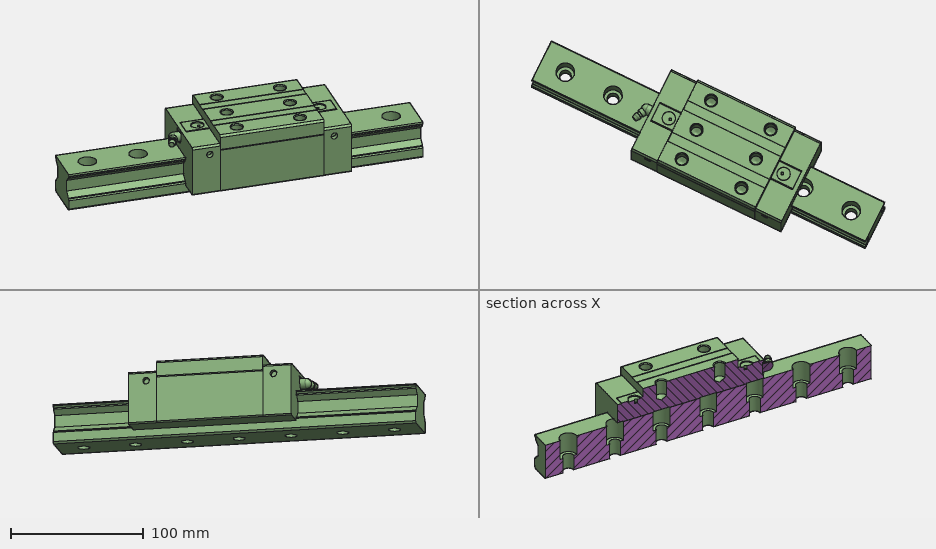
import cadquery as cq
import math


rail_length = 280.0
rail_height = 30.5
rail_half_width = 17.0
rail_waist_half_width = 11.4
rail_track_half_width = 15.6
rail_base_chamfer = 1.5
base_flank_top = 8.6
lower_ledge_inner_z = 9.3
lower_track_bottom = 10.1
lower_track_top = 14.1
upper_track_bottom = 23.2
upper_track_top = 27.1
upper_ledge_inner_z = 28.1
lip_bottom = 29.4
lip_edge_break = 0.6
rail_hole_pitch = 40.0
rail_hole_count = 7
rail_bolt_diameter = 9.0
rail_counterbore_diameter = 14.0
rail_counterbore_depth = 17.0

carriage_y = 15.1
carriage_bottom = 7.0
carriage_top = 55.0
body_width = 70.0
body_length = 82.0
body_top_chamfer = 1.6
body_base_chamfer = 1.0
side_relief = 0.3
reference_edge_bottom = 43.2
relief_bottom = 42.4

cap_width = 69.0
cap_top = 47.4
cap_top_chamfer = 1.5
carriage_length = 125.8
cap_length = (carriage_length - body_length) / 2

groove_inner_x = 9.7
groove_outer_x = 17.3
groove_depth = 0.4

mount_hole_diameter = 8.5
mount_hole_mouth_diameter = 10.0
mount_hole_depth = 13.0
mount_spacing_x = 25.0
mount_spacing_y = 50.0
drill_tip_angle = 118.0

side_hole_diameter = 5.0
side_hole_depth = 4.0
side_hole_offset = 49.2
side_hole_z = 40.0
pad_base_width = 16.0
pad_top_width = 14.4
pad_height = 0.3
pad_end_margin = 3.4
port_diameter = 10.0
port_depth = 1.0
port_offset = 48.2
port_hole_diameter = 2.0
port_hole_depth = 3.0
port_hole_offset = 47.0

nipple_z = 40.0
nipple_recess_width = 10.0
nipple_recess_rise = 4.8
nipple_recess_depth = 1.0
nipple_body_diameter = 8.0
nipple_body_length = 4.0
nipple_head_angle = 25.0
collar_radius = 3.2
collar_end = 5.7
neck_radius = 2.2
neck_end = 7.4
head_radius = 2.8
head_shoulder = 9.4
tip_radius = 2.0
tip_end = 12.0


def rail_section():
    """Rail outline in the XZ plane, extruded to the rail length and centred on Y."""
    half_outline = [
        (rail_half_width - rail_base_chamfer, 0),
        (rail_half_width, rail_base_chamfer),
        (rail_half_width, base_flank_top),
        (rail_track_half_width, lower_ledge_inner_z),
        (rail_track_half_width, lower_track_bottom),
        (rail_waist_half_width, lower_track_top),
        (rail_waist_half_width, upper_track_bottom),
        (rail_track_half_width, upper_track_top),
        (rail_track_half_width, upper_ledge_inner_z),
        (rail_half_width, lip_bottom),
        (rail_half_width - lip_edge_break, rail_height),
    ]
    mirrored = [(-x, z) for x, z in reversed(half_outline)]
    profile = cq.Workplane("XZ").polyline(half_outline + mirrored).close()
    return profile.extrude(rail_length / 2, both=True)


def make_rail():
    return (
        rail_section()
        .faces(">Z").workplane(origin=(0, 0, rail_height))
        .rarray(1, rail_hole_pitch, 1, rail_hole_count)
        .cboreHole(rail_bolt_diameter, rail_counterbore_diameter, rail_counterbore_depth)
    )


def make_body():
    """Steel block with relieved sides below the reference edges."""
    half_width = body_width / 2
    relieved = half_width - side_relief
    half_outline = [
        (relieved - body_base_chamfer, carriage_bottom),
        (relieved, carriage_bottom + body_base_chamfer),
        (relieved, relief_bottom),
        (half_width, reference_edge_bottom),
        (half_width, carriage_top - body_top_chamfer),
        (half_width - body_top_chamfer, carriage_top),
    ]
    mirrored = [(-x, z) for x, z in reversed(half_outline)]
    profile = cq.Workplane("XZ").polyline(half_outline + mirrored).close()
    return profile.extrude(body_length / 2, both=True)


def cut_top_grooves(body):
    groove_width = groove_outer_x - groove_inner_x
    groove_centre = (groove_outer_x + groove_inner_x) / 2
    grooves = (
        cq.Workplane("XY", origin=(0, 0, carriage_top - groove_depth))
        .pushPoints([(-groove_centre, 0), (groove_centre, 0)])
        .rect(groove_width, body_length)
        .extrude(groove_depth)
    )
    return body.cut(grooves)


def cut_mount_holes(body):
    """Blind tapped holes with a countersunk mouth and a conical drill tip."""
    radius = mount_hole_diameter / 2
    mouth_radius = mount_hole_mouth_diameter / 2
    tip_length = radius / math.tan(math.radians(drill_tip_angle / 2))
    drill = (
        cq.Workplane("XZ")
        .polyline([
            (0, 0),
            (mouth_radius, 0),
            (radius, radius - mouth_radius),
            (radius, -mount_hole_depth),
            (0, -mount_hole_depth - tip_length),
        ])
        .close()
        .revolve(360, (0, 0), (0, 1))
    )
    for x in (-mount_spacing_x, 0, mount_spacing_x):
        for y in (-mount_spacing_y / 2, mount_spacing_y / 2):
            body = body.cut(drill.translate((x, y, carriage_top)))
    return body


def make_end_cap():
    """End cap on the -Y end, with its raised pad, grease port and side holes."""
    cap_centre_y = -(body_length + cap_length) / 2
    cap = (
        cq.Workplane("XY", origin=(0, cap_centre_y, carriage_bottom))
        .rect(cap_width, cap_length)
        .extrude(cap_top - carriage_bottom)
        .edges("|Y and >Z").chamfer(cap_top_chamfer)
        .edges("|Y and <Z").chamfer(body_base_chamfer)
    )

    pad_length = cap_length - pad_end_margin
    pad = (
        cq.Workplane("XZ", origin=(0, -body_length / 2, cap_top))
        .polyline([
            (-pad_base_width / 2, 0),
            (pad_base_width / 2, 0),
            (pad_top_width / 2, pad_height),
            (-pad_top_width / 2, pad_height),
        ])
        .close()
        .extrude(pad_length)
    )
    cap = cap.union(pad)

    pad_top = cap_top + pad_height
    port = (
        cq.Workplane("XY", origin=(0, -port_offset, pad_top))
        .circle(port_diameter / 2)
        .extrude(-port_depth)
    )
    port_hole = (
        cq.Workplane("XY", origin=(0, -port_hole_offset, pad_top))
        .circle(port_hole_diameter / 2)
        .extrude(-port_depth - port_hole_depth)
    )
    cap = cap.cut(port).cut(port_hole)

    for side in (-1, 1):
        side_hole = (
            cq.Workplane("YZ", origin=(side * cap_width / 2, -side_hole_offset, side_hole_z))
            .circle(side_hole_diameter / 2)
            .extrude(-side * side_hole_depth)
        )
        cap = cap.cut(side_hole)
    return cap


def make_nipple_recess():
    """Cutter with a round bottom and a square top, sunk into the -Y end of the carriage."""
    half_width = nipple_recess_width / 2
    return (
        cq.Workplane("XZ", origin=(0, -carriage_length / 2, nipple_z))
        .moveTo(-half_width, nipple_recess_rise)
        .lineTo(-half_width, 0)
        .threePointArc((0, -half_width), (half_width, 0))
        .lineTo(half_width, nipple_recess_rise)
        .close()
        .extrude(-nipple_recess_depth)
    )


def make_carriage():
    """Body and both end caps in one piece, recessed for the nipple and slotted for the rail."""
    body = cut_mount_holes(cut_top_grooves(make_body()))
    cap = make_end_cap()
    carriage = body.union(cap).union(cap.mirror("XZ"))
    carriage = carriage.cut(make_nipple_recess())
    return carriage.translate((0, carriage_y, 0)).cut(rail_section())


def make_nipple():
    """Stub standing on the recess floor, its ball end carrying a fitting head turned sideways."""
    ball_radius = nipple_body_diameter / 2
    stub = (
        cq.Workplane("XZ", origin=(0, nipple_recess_depth, 0))
        .circle(ball_radius)
        .extrude(nipple_recess_depth + nipple_body_length)
    )
    ball = cq.Workplane("XY").sphere(ball_radius)
    head = (
        cq.Workplane("XY")
        .polyline([
            (0, 0),
            (0, collar_radius),
            (collar_end, collar_radius),
            (collar_end, neck_radius),
            (neck_end, neck_radius),
            (neck_end, head_radius),
            (head_shoulder, head_radius),
            (tip_end, tip_radius),
            (tip_end, 0),
        ])
        .close()
        .revolve(360, (0, 0), (1, 0))
        .rotate((0, 0, 0), (0, 0, 1), -nipple_head_angle)
    )
    bent_end = ball.union(head).translate((0, -nipple_body_length, 0))
    carriage_end_y = carriage_y - carriage_length / 2
    return stub.union(bent_end).translate((0, carriage_end_y, nipple_z))


rail = make_rail()
carriage = make_carriage()
nipple = make_nipple()

result = cq.Compound.makeCompound([body.solids().val() for body in (rail, carriage, nipple)])